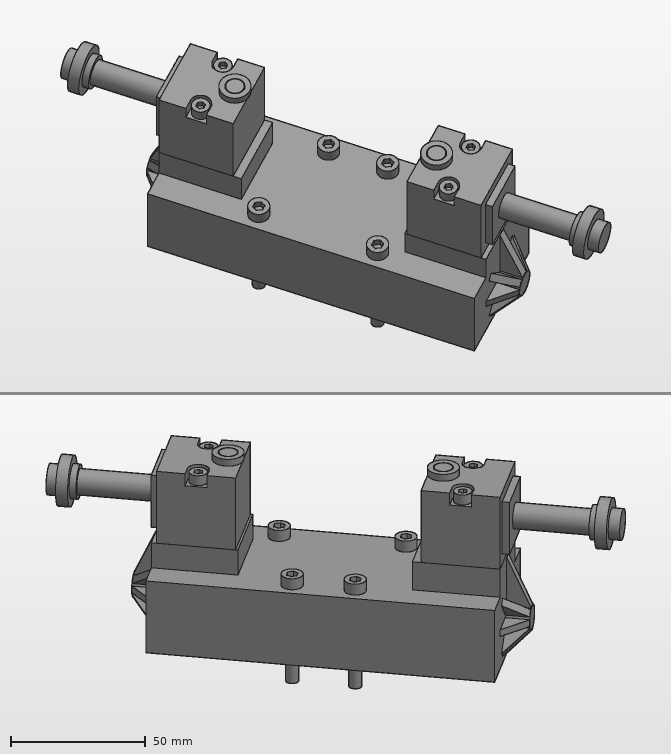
import cadquery as cq
import math

OVERALL_LENGTH = 217.0

BLOCK_LENGTH = 132.0
BLOCK_CENTRE_X = 0.98
BLOCK_LEFT = BLOCK_CENTRE_X - BLOCK_LENGTH / 2
BLOCK_RIGHT = BLOCK_CENTRE_X + BLOCK_LENGTH / 2
BLOCK_WIDTH = 52.0
BLOCK_HEIGHT = 30.0

LEFT_PEDESTAL_LENGTH = 33.2
LEFT_PEDESTAL_HEIGHT = 11.7
RIGHT_PEDESTAL_LENGTH = 32.8
RIGHT_PEDESTAL_HEIGHT = 10.5

BOSS_DIAMETER = 10.0
BOSS_LENGTH = 9.3
UPRIGHT_RIB_WIDTH = 3.5
DIAGONAL_RIB_WIDTH = 3.0
LEVEL_RIB_WIDTH = 2.8
TOP_RIB_REACH = 25.0
DIAGONAL_RIB_REACH = 15.6

SCREW_Y = 19.0
FRONT_SCREW_SPACING = 48.0
BACK_SCREW_SPACING = 23.9
SCREW_HEAD_DIAMETER = 8.2
SCREW_HEAD_HEIGHT = 4.5
SCREW_SOCKET_ACROSS_FLATS = 4.0
SCREW_SOCKET_DEPTH = 2.5
SCREW_SHANK_DIAMETER = 5.0
SCREW_PROTRUSION = 10.0

PILOT_SIZE = 30.0
PILOT_CENTRE_X = BLOCK_LEFT + PILOT_SIZE / 2
PLATE_SIZE = 21.7
PLATE_THICKNESS = 2.8

STEM_Z = 15.2
STEM_DIAMETER = 10.0
COLLAR_DIAMETER = 13.2
COLLAR_LENGTH = 2.5
KNOB_DIAMETER = 19.5
KNOB_LENGTH = 4.5
STEM_END_DIAMETER = 12.0
STEM_END_LENGTH = 4.3
HEAD_LENGTH = COLLAR_LENGTH + KNOB_LENGTH + STEM_END_LENGTH
STEM_LENGTH = OVERALL_LENGTH / 2 + BLOCK_LEFT - PLATE_THICKNESS - HEAD_LENGTH

BUTTON_DIAMETER = 12.0
BUTTON_HEIGHT = 2.8
BUTTON_GROOVE_OUTER_DIAMETER = 7.4
BUTTON_GROOVE_INNER_DIAMETER = 7.0
BUTTON_GROOVE_DEPTH = 1.0
BUTTON_X = 9.3

SLOT_WIDTH = 8.2
SLOT_DEPTH = 5.0
SLOT_CENTRE_Y = 10.6
PILOT_SCREW_DIAMETER = 7.0
PILOT_SCREW_HEIGHT = 4.1
PILOT_SOCKET_ACROSS_FLATS = 3.0
PILOT_SOCKET_DEPTH = 2.2


def box_between(x_start, x_end, width, z_bottom, height):
    """Box from x_start to x_end, centred on Y = 0."""
    return (
        cq.Workplane("XY", origin=((x_start + x_end) / 2, 0, z_bottom))
        .box(x_end - x_start, width, height, centered=(True, True, False))
    )


def upright_cylinder(x, y, z_bottom, diameter, height):
    return cq.Workplane("XY", origin=(x, y, z_bottom)).circle(diameter / 2).extrude(height)


def hex_socket(x, y, z_bottom, across_flats, depth):
    """Hexagonal prism with two corners pointing along Y."""
    across_corners = across_flats / math.cos(math.pi / 6)
    hexagon = cq.Workplane("XY").polygon(6, across_corners).extrude(depth)
    return hexagon.rotate((0, 0, 0), (0, 0, 1), 90).translate((x, y, z_bottom))


def boss_rib(angle, width, reach):
    """Sloping rib on a +X boss, turned by angle from the upward direction."""
    tip_reach = math.sqrt((BOSS_DIAMETER / 2) ** 2 - (width / 2) ** 2)
    profile = [(0, 0), (BOSS_LENGTH, 0), (BOSS_LENGTH, tip_reach), (0, reach)]
    rib = cq.Workplane("XZ").polyline(profile).close().extrude(width / 2, both=True)
    return rib.rotate((0, 0, 0), (1, 0, 0), angle)


def ribbed_boss():
    """Round boss with eight ribs, growing along +X from the origin."""
    boss = cq.Workplane("YZ").circle(BOSS_DIAMETER / 2).extrude(BOSS_LENGTH)
    boss = boss.union(boss_rib(0, UPRIGHT_RIB_WIDTH, TOP_RIB_REACH))
    boss = boss.union(boss_rib(180, UPRIGHT_RIB_WIDTH, BLOCK_HEIGHT / 2))
    for angle in (90, 270):
        boss = boss.union(boss_rib(angle, LEVEL_RIB_WIDTH, PILOT_SIZE / 2))
    for angle in (45, 135, 225, 315):
        boss = boss.union(boss_rib(angle, DIAGONAL_RIB_WIDTH, DIAGONAL_RIB_REACH))
    return boss


def block_screw(x, y):
    """Socket-head screw through the block, its shank showing below."""
    shank = upright_cylinder(x, y, -SCREW_PROTRUSION, SCREW_SHANK_DIAMETER, SCREW_PROTRUSION + BLOCK_HEIGHT)
    head = upright_cylinder(x, y, BLOCK_HEIGHT, SCREW_HEAD_DIAMETER, SCREW_HEAD_HEIGHT)
    socket_bottom = BLOCK_HEIGHT + SCREW_HEAD_HEIGHT - SCREW_SOCKET_DEPTH
    socket = hex_socket(x, y, socket_bottom, SCREW_SOCKET_ACROSS_FLATS, SCREW_SOCKET_DEPTH)
    return shank.union(head.cut(socket))


def make_manifold():
    """Block with its two pedestals, end bosses and four screws."""
    manifold = box_between(BLOCK_LEFT, BLOCK_RIGHT, BLOCK_WIDTH, 0, BLOCK_HEIGHT)
    left_pedestal = box_between(
        BLOCK_LEFT, BLOCK_LEFT + LEFT_PEDESTAL_LENGTH, PILOT_SIZE, BLOCK_HEIGHT, LEFT_PEDESTAL_HEIGHT
    )
    right_pedestal = box_between(
        BLOCK_RIGHT - RIGHT_PEDESTAL_LENGTH, BLOCK_RIGHT, PILOT_SIZE, BLOCK_HEIGHT, RIGHT_PEDESTAL_HEIGHT
    )
    manifold = manifold.union(left_pedestal).union(right_pedestal)

    boss = ribbed_boss()
    boss_z = BLOCK_HEIGHT / 2
    right_boss = boss.translate((BLOCK_RIGHT, 0, boss_z))
    left_boss = boss.rotate((0, 0, 0), (0, 0, 1), 180).translate((BLOCK_LEFT, 0, boss_z))
    manifold = manifold.union(right_boss).union(left_boss)

    for y, spacing in ((-SCREW_Y, FRONT_SCREW_SPACING), (SCREW_Y, BACK_SCREW_SPACING)):
        for side in (-1, 1):
            manifold = manifold.union(block_screw(BLOCK_CENTRE_X + side * spacing / 2, y))
    return manifold


def pilot_stem():
    """Plate, stem, collar, knob and stem end, stacked along -X from the housing."""
    plate_x = -PILOT_SIZE / 2
    stem = (
        cq.Workplane("YZ", origin=(plate_x, 0, STEM_Z))
        .rect(PLATE_SIZE, PLATE_SIZE)
        .extrude(-PLATE_THICKNESS)
    )
    stages = (
        (STEM_DIAMETER, STEM_LENGTH),
        (COLLAR_DIAMETER, COLLAR_LENGTH),
        (KNOB_DIAMETER, KNOB_LENGTH),
        (STEM_END_DIAMETER, STEM_END_LENGTH),
    )
    start_x = plate_x - PLATE_THICKNESS
    for diameter, length in stages:
        stage = cq.Workplane("YZ", origin=(start_x, 0, STEM_Z)).circle(diameter / 2).extrude(-length)
        stem = stem.union(stage)
        start_x -= length
    return stem


def pilot_button():
    """Round button with a narrow ring groove in its top."""
    button = upright_cylinder(BUTTON_X, 0, PILOT_SIZE, BUTTON_DIAMETER, BUTTON_HEIGHT)
    groove = (
        cq.Workplane("XY", origin=(BUTTON_X, 0, PILOT_SIZE + BUTTON_HEIGHT))
        .circle(BUTTON_GROOVE_OUTER_DIAMETER / 2)
        .circle(BUTTON_GROOVE_INNER_DIAMETER / 2)
        .extrude(-BUTTON_GROOVE_DEPTH)
    )
    return button.cut(groove)


def screw_slot(side):
    """Round-ended slot from the screw's place out to one side of the pilot."""
    slot_bottom = PILOT_SIZE - SLOT_DEPTH
    round_end = upright_cylinder(0, side * SLOT_CENTRE_Y, slot_bottom, SLOT_WIDTH, SLOT_DEPTH)
    mouth = (
        cq.Workplane("XY", origin=(0, side * (SLOT_CENTRE_Y + SLOT_WIDTH / 2), slot_bottom))
        .box(SLOT_WIDTH, SLOT_WIDTH, SLOT_DEPTH, centered=(True, True, False))
    )
    return round_end.union(mouth)


def pilot_screw(side):
    """Socketed screw head standing on the slot's floor."""
    y = side * SLOT_CENTRE_Y
    floor = PILOT_SIZE - SLOT_DEPTH
    head = upright_cylinder(0, y, floor, PILOT_SCREW_DIAMETER, PILOT_SCREW_HEIGHT)
    socket_bottom = floor + PILOT_SCREW_HEIGHT - PILOT_SOCKET_DEPTH
    socket = hex_socket(0, y, socket_bottom, PILOT_SOCKET_ACROSS_FLATS, PILOT_SOCKET_DEPTH)
    return head.cut(socket)


def make_pilot():
    """Pilot with its stem towards -X, its underside centred on the origin."""
    pilot = box_between(-PILOT_SIZE / 2, PILOT_SIZE / 2, PILOT_SIZE, 0, PILOT_SIZE)
    pilot = pilot.union(pilot_stem()).union(pilot_button())
    for side in (-1, 1):
        pilot = pilot.cut(screw_slot(side)).union(pilot_screw(side))
    return pilot


manifold = make_manifold()

pilots = []
for centre_x, turn, pedestal_height in (
    (PILOT_CENTRE_X, 0, LEFT_PEDESTAL_HEIGHT),
    (-PILOT_CENTRE_X, 180, RIGHT_PEDESTAL_HEIGHT),
):
    pilot = make_pilot().rotate((0, 0, 0), (0, 0, 1), turn)
    pilots.append(pilot.translate((centre_x, 0, BLOCK_HEIGHT + pedestal_height)))

result = cq.Compound.makeCompound([manifold.val(), *(pilot.val() for pilot in pilots)])